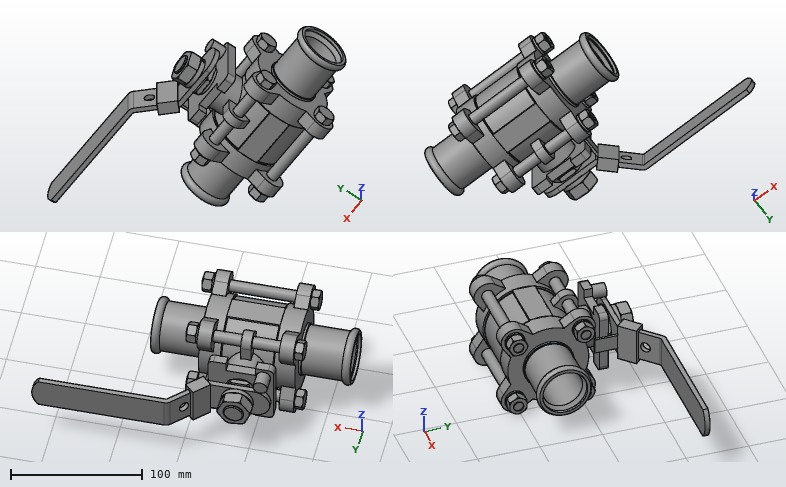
import cadquery as cq
import math


overall_length = 231.44
overall_depth = 127.72
overall_height = 75.45

pipe_half_length = 77.5
pipe_diameter = 38.6
bore_diameter = 32.0
bead_diameter = 43.8
bead_width = 6.6
bead_lip_diameter = 40.8
mouth_diameter = 35.9
mouth_depth = 2.4
seal_groove_diameter = 39.4
seal_groove_end = 3.6
mouth_cone_depth = 6.4
collar_diameter = 40.4
collar_end = 39.7
collar_chamfer = 0.4

cap_diameter = 65.0
cap_outer_face = 37.5
cap_inner_face = 20.8
center_diameter = 63.0
center_half_length = 20.0
groove_diameter = 62.0
pad_width = 18.4
pad_height = 31.7

bolt_offset = 27.0
lug_radius = overall_height / 2 - bolt_offset
lug_inner_face = 26.4
lug_neck_wide = 30.1
lug_neck_narrow = 12.5
rod_diameter = 9.25
hex_flats = 13.9
hex_chamfer = 0.9
head_end = 44.0
washer_diameter = 15.8
washer_end = 39.2
nut_end = 46.7
rod_tip_end = 47.5
rod_tip_diameter = 8.0
guide_diameter = 16.6
guide_width = 8.0

boss_diameter = 32.0
plate_bottom = 45.1
plate_top = 52.2
plate_side = 51.2
plate_corner_radius = 4.2
plate_recess_width = 23.0
plate_recess_depth = 7.4
stop_pin_diameter = 11.0
stop_pin_offset = 17.7
gland_diameter = 22.8
gland_top = 54.8
thin_nut_top = 58.6
thin_nut_corners = 29.6
thin_nut_chamfer = 1.0
stem_diameter = 15.8
stem_neck_diameter = 16.6
stem_top = 78.6
stem_chamfer = 0.8
spring_washer_diameter = 25.0
spring_washer_top = 67.8
spring_washer_gap = 2.0
stem_nut_corners = 26.7
stem_nut_top = 77.2
stem_nut_turn = 7.5
stem_nut_chamfer = 0.9

lever_top = overall_depth - overall_height / 2
lever_thickness = 4.1
lever_width = 24.6
lever_end = overall_length - pipe_half_length
lever_end_radius = 17.6
lever_left = -25.2
lever_hub_top = 63.9
lever_crank_line = 41.6
lever_crank_angle = 45.0
lever_bend_radius = 2.0
lever_hole_diameter = 8.0
lever_hole_height = 79.5
sleeve_length = 16.0
sleeve_thickness = 10.3
sleeve_width = 30.2
sleeve_start_height = 62.5
tab_left = 25.1
tab_right = 27.3
tab_bottom = 40.9
tab_width = 12.0


def disc_x(diameter, start, end, y=0.0, z=0.0):
    """Cylinder along X between two X positions."""
    return cq.Workplane("YZ", origin=(start, 0, 0)).center(y, z).circle(diameter / 2).extrude(end - start)


def disc_y(diameter, start, end, x=0.0, z=0.0):
    """Cylinder along Y between two Y positions."""
    return cq.Workplane("XZ", origin=(0, start, 0)).center(x, z).circle(diameter / 2).extrude(start - end)


def crowned_hex(corners, height, chamfer):
    """Hexagonal prism along Z whose corners are turned down at both ends."""
    prism = cq.Workplane("XY").polygon(6, corners).extrude(height)
    turned = cq.Workplane("XY").circle(corners / 2).extrude(height).edges().chamfer(chamfer)
    return prism.intersect(turned)


def hex_x(start, end, y, z, turn):
    """Crowned hexagon along X from one X position to another."""
    corners = hex_flats / math.cos(math.pi / 6)
    blank = crowned_hex(corners, abs(end - start), hex_chamfer)
    blank = blank.rotate((0, 0, 0), (0, 0, 1), turn)
    tilt = 90 if end > start else -90
    return blank.rotate((0, 0, 0), (0, 1, 0), tilt).translate((start, y, z))


def hex_y(start, end, corners, chamfer, turn):
    """Crowned hexagon along Y on the stem axis between two Y positions."""
    blank = crowned_hex(corners, end - start, chamfer)
    blank = blank.rotate((0, 0, 0), (0, 0, 1), turn)
    return blank.rotate((0, 0, 0), (1, 0, 0), -90).translate((0, start, 0))


def pipe_end():
    """Pipe stub on the +X side with its collar and rolled bead."""
    bead_start = pipe_half_length - bead_width
    stub = disc_x(pipe_diameter, cap_outer_face, pipe_half_length)
    collar = disc_x(collar_diameter, cap_outer_face, collar_end).faces(">X").chamfer(collar_chamfer)
    bead = (
        cq.Workplane("XY")
        .moveTo(bead_start, 0)
        .lineTo(bead_start, pipe_diameter / 2)
        .threePointArc(
            (pipe_half_length - bead_width / 2, bead_diameter / 2),
            (pipe_half_length, bead_lip_diameter / 2),
        )
        .lineTo(pipe_half_length, 0)
        .close()
        .revolve(360, (0, 0, 0), (1, 0, 0))
    )
    return stub.union(collar).union(bead)


def pipe_mouth():
    """Mouth on the +X side: entry, seal groove in the bead and cone to the through bore."""
    groove_start = pipe_half_length - mouth_depth
    groove_end = pipe_half_length - seal_groove_end
    cone_end = pipe_half_length - mouth_cone_depth
    return (
        cq.Workplane("XY")
        .moveTo(cone_end, 0)
        .lineTo(cone_end, bore_diameter / 2)
        .lineTo(groove_end, seal_groove_diameter / 2)
        .lineTo(groove_start, seal_groove_diameter / 2)
        .lineTo(groove_start, mouth_diameter / 2)
        .lineTo(pipe_half_length, mouth_diameter / 2)
        .lineTo(pipe_half_length, 0)
        .close()
        .revolve(360, (0, 0, 0), (1, 0, 0))
    )


def lug_taper_angle():
    """Angle between a lug side and the lug's diagonal axis."""
    axis_run = bolt_offset * math.sqrt(2) - (lug_neck_wide + lug_neck_narrow) / math.sqrt(2)
    half_neck = (lug_neck_wide - lug_neck_narrow) / math.sqrt(2)
    to_center = math.atan2(half_neck, axis_run)
    return math.degrees(to_center - math.asin(lug_radius / math.hypot(axis_run, half_neck)))


def lug():
    """Bolt lug of the +X cap in the +Y +Z corner, narrowing outwards from the cap."""
    lug_taper = lug_taper_angle()
    tangent_reach = lug_radius * math.cos(math.radians(45 + lug_taper))
    tangent_rise = lug_radius * math.sin(math.radians(45 + lug_taper))
    tip = lug_radius / math.sqrt(2)
    outline = (
        cq.Workplane("YZ", origin=(lug_inner_face, 0, 0))
        .moveTo(0, 0)
        .lineTo(lug_neck_wide, lug_neck_narrow)
        .lineTo(bolt_offset + tangent_rise, bolt_offset - tangent_reach)
        .threePointArc(
            (bolt_offset + tip, bolt_offset + tip),
            (bolt_offset - tangent_reach, bolt_offset + tangent_rise),
        )
        .lineTo(lug_neck_narrow, lug_neck_wide)
        .close()
    )
    return outline.extrude(cap_outer_face - lug_inner_face)


def cap():
    """Complete +X end: cap, four lugs and pipe stub."""
    end = disc_x(cap_diameter, cap_inner_face, cap_outer_face)
    for quarter in range(4):
        end = end.union(lug().rotate((0, 0, 0), (1, 0, 0), 90 * quarter))
    return end.union(pipe_end())


def center_body():
    """Middle body with the gasket grooves beside it and a flat pad above and below."""
    body = disc_x(groove_diameter, -cap_inner_face, cap_inner_face)
    body = body.union(disc_x(center_diameter, -center_half_length, center_half_length))
    pads = cq.Workplane("XY").box(2 * cap_inner_face, pad_width, 2 * pad_height)
    return body.union(pads)


def rod_guide():
    """Lug of the middle body around the upper rod on the stem side."""
    radius = guide_diameter / 2
    diagonal = radius / math.sqrt(2)
    block = (
        cq.Workplane("YZ", origin=(-guide_width / 2, 0, 0))
        .moveTo(0, 0)
        .lineTo(bolt_offset + radius, 0)
        .lineTo(bolt_offset + radius, bolt_offset)
        .threePointArc(
            (bolt_offset + diagonal, bolt_offset + diagonal),
            (bolt_offset - diagonal, bolt_offset + diagonal),
        )
        .lineTo(0, 2 * diagonal)
        .close()
    )
    return block.extrude(guide_width)


def bolt(y, z, turn):
    """Rod with hexagon head on the -X side and washer, nut and tip on the +X side."""
    rod = disc_x(rod_diameter, -cap_outer_face, cap_outer_face, y, z)
    head = hex_x(-cap_outer_face, -head_end, y, z, turn)
    washer = disc_x(washer_diameter, cap_outer_face, washer_end, y, z)
    nut = hex_x(washer_end, nut_end, y, z, turn)
    tip = disc_x(rod_tip_diameter, nut_end, rod_tip_end, y, z)
    return rod.union(head).union(washer).union(nut).union(tip)


def mounting_plate():
    """Square plate recessed in the middle of its two Z sides."""
    plate = (
        cq.Workplane("XZ", origin=(0, plate_bottom, 0))
        .rect(plate_side, plate_side)
        .extrude(plate_bottom - plate_top)
        .edges("|Y")
        .fillet(plate_corner_radius)
    )
    for side in (-1, 1):
        recess = cq.Workplane("XY").box(plate_recess_width, 2 * plate_top, 2 * plate_recess_depth)
        plate = plate.cut(recess.translate((0, 0, side * plate_side / 2)))
    return plate


def stem_stack():
    """Boss, mounting plate, stop pin, stem and the nuts and washers on it."""
    boss = disc_y(boss_diameter, 0, plate_bottom)
    pin = disc_y(stop_pin_diameter, plate_top, lever_hub_top, -stop_pin_offset, stop_pin_offset)
    gland = disc_y(gland_diameter, plate_top, gland_top)
    thin_nut = hex_y(gland_top, thin_nut_top, thin_nut_corners, thin_nut_chamfer, 0)
    stem = disc_y(stem_diameter, plate_bottom, stem_top).faces(">Y").chamfer(stem_chamfer)
    neck = disc_y(stem_neck_diameter, thin_nut_top, lever_hub_top)
    spring_washer = disc_y(spring_washer_diameter, lever_hub_top, spring_washer_top)
    washer_height = spring_washer_top - lever_hub_top
    gap = cq.Workplane("XY").box(spring_washer_diameter, washer_height, spring_washer_gap)
    gap = gap.translate((-spring_washer_diameter / 2, lever_hub_top + washer_height / 2, 0))
    stem_nut = hex_y(spring_washer_top, stem_nut_top, stem_nut_corners, stem_nut_chamfer, stem_nut_turn)
    stack = boss.union(mounting_plate()).union(pin).union(gland).union(thin_nut)
    return stack.union(spring_washer.cut(gap)).union(neck).union(stem).union(stem_nut)


def lever():
    """Bent strip: hub over the stem, 45 degree crank and straight handle."""
    half_width = lever_width / 2
    inner_line = lever_crank_line - lever_thickness * math.sqrt(2)
    hub_bottom = lever_hub_top - lever_thickness
    handle_bottom = lever_top - lever_thickness
    strip = (
        cq.Workplane("XY", origin=(0, 0, -half_width))
        .moveTo(lever_left, hub_bottom)
        .lineTo(hub_bottom - inner_line, hub_bottom)
        .lineTo(handle_bottom - inner_line, handle_bottom)
        .lineTo(lever_end, handle_bottom)
        .lineTo(lever_end, lever_top)
        .lineTo(lever_top - lever_crank_line, lever_top)
        .lineTo(lever_hub_top - lever_crank_line, lever_hub_top)
        .lineTo(lever_left, lever_hub_top)
        .close()
        .extrude(lever_width)
    )
    inner_bend = cq.selectors.NearestToPointSelector((handle_bottom - inner_line, handle_bottom, 0))
    strip = strip.edges(inner_bend).fillet(lever_bend_radius)
    outer_bend = cq.selectors.NearestToPointSelector((lever_top - lever_crank_line, lever_top, 0))
    strip = strip.edges(outer_bend).fillet(lever_bend_radius + lever_thickness)
    sagitta = lever_end_radius - math.sqrt(lever_end_radius**2 - half_width**2)
    plan = (
        cq.Workplane("XZ")
        .moveTo(lever_left + half_width, -half_width)
        .lineTo(lever_end - sagitta, -half_width)
        .threePointArc((lever_end, 0), (lever_end - sagitta, half_width))
        .lineTo(lever_left + half_width, half_width)
        .threePointArc((lever_left, 0), (lever_left + half_width, -half_width))
        .close()
        .extrude(-lever_top)
    )
    crank_hole = (
        cq.Workplane("XY")
        .circle(lever_hole_diameter / 2)
        .extrude(4 * lever_thickness, both=True)
        .rotate((0, 0, 0), (1, 0, 0), 90)
        .rotate((0, 0, 0), (0, 0, 1), lever_crank_angle)
        .translate((lever_hole_height - lever_crank_line, lever_hole_height, 0))
    )
    return strip.intersect(plan).cut(crank_hole)


def locking_sleeve():
    """Block on the crank and the locking tab hanging from it beside the plate."""
    middle_line = lever_crank_line - lever_thickness / math.sqrt(2)
    middle_height = sleeve_start_height + sleeve_length / 2 / math.sqrt(2)
    block = (
        cq.Workplane("XY")
        .box(sleeve_length, sleeve_thickness, sleeve_width)
        .rotate((0, 0, 0), (0, 0, 1), lever_crank_angle)
        .translate((middle_height - middle_line, middle_height, 0))
    )
    tab_height = sleeve_start_height - tab_bottom
    tab = cq.Workplane("XY").box(tab_right - tab_left, tab_height, tab_width)
    tab = tab.translate(((tab_left + tab_right) / 2, tab_bottom + tab_height / 2, 0))
    return block.union(tab)


right_end = cap()
result = center_body().union(right_end).union(right_end.mirror("YZ"))
guide = rod_guide()
result = result.union(guide).union(guide.mirror("XY"))
for y_side in (-1, 1):
    for z_side in (-1, 1):
        hex_turn = 0 if y_side == z_side else 30
        result = result.union(bolt(y_side * bolt_offset, z_side * bolt_offset, hex_turn))
result = result.union(stem_stack()).union(lever()).union(locking_sleeve())

right_mouth = pipe_mouth()
bore = disc_x(bore_diameter, -pipe_half_length, pipe_half_length)
result = result.cut(bore).cut(right_mouth).cut(right_mouth.mirror("YZ"))